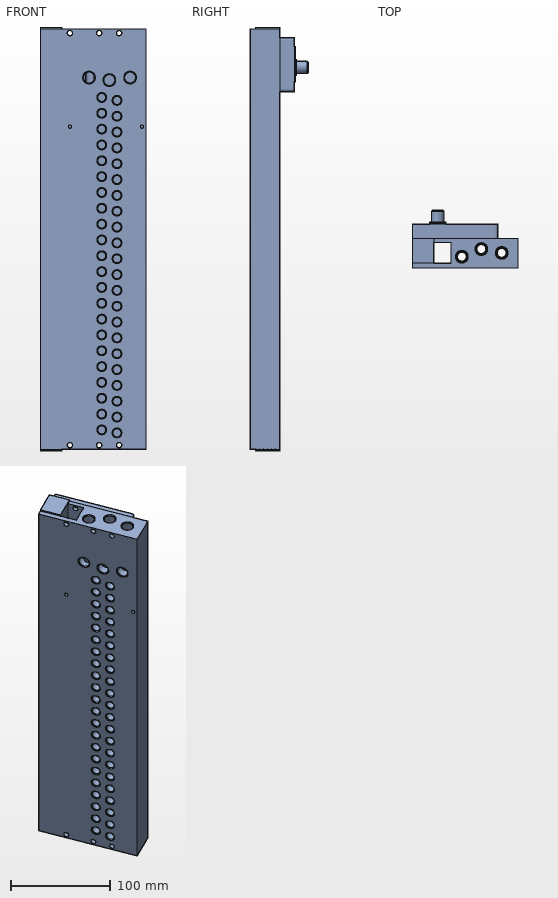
import cadquery as cq

plate_width = 106.8
plate_thickness = 30.0
overall_height = 427.0
filler_protrusion = 1.5
plate_height = overall_height - 2 * filler_protrusion
plate_top = plate_height / 2

front_wall = 5.0
rear_wall = 4.3
channel_left = 21.8
channel_right = 39.0
channel_rear = plate_thickness - rear_wall

rim_chamfer = 1.0

gallery_axes = [(50.0, 11.5), (69.5, 19.2), (90.0, 15.5)]
gallery_diameter = 9.0
port_diameter = 11.0
end_port_depth = 12.0

supply_ports = [(49.0, 49.0), (69.5, 51.5), (90.5, 49.0)]
supply_port_depth = 9.5

outlet_columns = [(62.0, 69.0), (77.5, 72.0)]
outlet_diameter = 8.0
outlet_depth = 9.5
outlet_span = 335.0
outlet_count = 22
outlet_pitch = outlet_span / (outlet_count - 1)

mount_hole_xs = [30.0, 59.5, 79.5]
mount_hole_diameter = 5.0
mount_hole_inset = 4.3

pin_hole_xs = [30.0, 102.5]
pin_hole_diameter = 3.5
pin_hole_depth = 4.3
pin_hole_drop = 98.5

box_width = 86.3
box_depth = 14.5
box_height = 54.5
box_drop = 9.0
box_corner = 2.5
box_rear = plate_thickness + box_depth

connector_x = 25.5
connector_drop = 39.0
connector_z = plate_top - connector_drop
pad_width = 16.2
pad_height = 35.5
pad_thickness = 1.3
pad_drop = 18.0
flange_diameter = 16.2
flange_thickness = 2.0
stud_diameter = 13.0
stud_length = 14.0
stud_chamfer = 1.3


def block(x_min, x_max, y_min, y_max, z_min, z_max):
    size = (x_max - x_min, y_max - y_min, z_max - z_min)
    return cq.Workplane("XY").box(*size, centered=False).translate((x_min, y_min, z_min))


def cylinder_y(x, y, z, diameter, length):
    """Cylinder that runs toward +Y from (x, y, z)."""
    return cq.Workplane("XZ", origin=(x, y, z)).circle(diameter / 2).extrude(-length)


def cylinder_z(x, y, z, diameter, length):
    """Cylinder that runs toward +Z from (x, y, z)."""
    return cq.Workplane("XY", origin=(x, y, z)).circle(diameter / 2).extrude(length)


def port_cutter(diameter, depth):
    """Blind bore from the origin toward -Z, flared at its mouth by the rim countersink."""
    radius = diameter / 2
    profile = (
        cq.Workplane("XZ")
        .lineTo(radius + rim_chamfer, 0)
        .lineTo(radius, -rim_chamfer)
        .lineTo(radius, -depth)
        .lineTo(0, -depth)
        .close()
    )
    return profile.revolve(360, (0, 0, 0), (0, 1, 0))


def make_plate():
    plate = block(0, plate_width, 0, plate_thickness, -plate_top, plate_top)
    filler = block(0, channel_left, front_wall, plate_thickness, -overall_height / 2, overall_height / 2)
    channel = block(channel_left, channel_right, front_wall, channel_rear, -plate_top, plate_top)
    return plate.union(filler).cut(channel)


def cut_galleries(body):
    top_port = port_cutter(port_diameter, end_port_depth)
    bottom_port = top_port.mirror("XY")
    for x, y in gallery_axes:
        body = body.cut(cylinder_z(x, y, -plate_top, gallery_diameter, plate_height))
        body = body.cut(top_port.translate((x, y, plate_top)))
        body = body.cut(bottom_port.translate((x, y, -plate_top)))
    return body


def front_port(diameter, depth):
    """Port cutter turned so that it runs toward +Y from the front face."""
    return port_cutter(diameter, depth).rotate((0, 0, 0), (1, 0, 0), 90)


def cut_front_holes(body):
    supply_port = front_port(port_diameter, supply_port_depth)
    outlet_port = front_port(outlet_diameter, outlet_depth)
    for x, drop in supply_ports:
        body = body.cut(supply_port.translate((x, 0, plate_top - drop)))
    for x, first_drop in outlet_columns:
        for i in range(outlet_count):
            z = plate_top - first_drop - i * outlet_pitch
            body = body.cut(outlet_port.translate((x, 0, z)))
    for x in mount_hole_xs:
        for z in (mount_hole_inset - plate_top, plate_top - mount_hole_inset):
            body = body.cut(cylinder_y(x, 0, z, mount_hole_diameter, plate_thickness))
    for x in pin_hole_xs:
        body = body.cut(cylinder_y(x, 0, plate_top - pin_hole_drop, pin_hole_diameter, pin_hole_depth))
    return body


def make_connector_box():
    box_top = plate_top - box_drop
    box = block(0, box_width, plate_thickness, box_rear, box_top - box_height, box_top)
    box = box.edges("|Y").fillet(box_corner)
    pad_top = plate_top - pad_drop
    pad = block(
        connector_x - pad_width / 2, connector_x + pad_width / 2,
        box_rear, box_rear + pad_thickness,
        pad_top - pad_height, pad_top,
    )
    flange = cylinder_y(connector_x, box_rear, connector_z, flange_diameter, flange_thickness)
    stud = cylinder_y(connector_x, box_rear, connector_z, stud_diameter, stud_length)
    stud = stud.faces(">Y").chamfer(stud_chamfer)
    return box.union(pad).union(flange).union(stud)


manifold = cut_front_holes(cut_galleries(make_plate()))
result = manifold.union(make_connector_box())